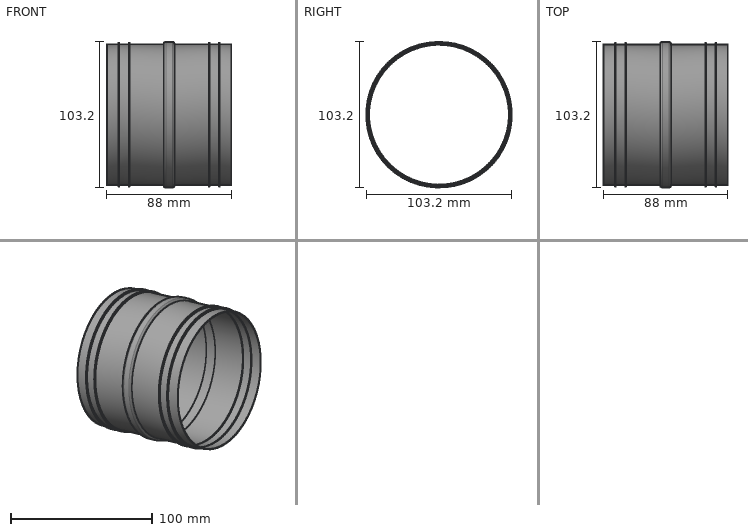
import cadquery as cq
import math

length = 88.0
tube_radius = 50.0
wall = 0.5

bead_radius = 51.6
bead_flat_width = 4.5

rib_radius = 51.0
rib_width = 0.7
rib_chamfer = 0.2
rib_from_end = 8.5
rib_spacing = 7.2

inner_radius = tube_radius - wall


def ring(center_x, width, outer_radius):
    """Plain ring around X with the bore of the tube."""
    return (
        cq.Workplane("YZ", origin=(center_x - width / 2, 0, 0))
        .circle(outer_radius)
        .circle(inner_radius)
        .extrude(width)
    )


def stop_bead():
    """Middle ring whose shoulders are quarter rounds rising from the tube."""
    shoulder = bead_radius - tube_radius
    half_flat = bead_flat_width / 2
    half_width = half_flat + shoulder
    arc_offset = shoulder * math.sqrt(0.5)
    return (
        cq.Workplane("XY")
        .moveTo(-half_width, inner_radius)
        .lineTo(-half_width, tube_radius)
        .threePointArc((-half_flat - arc_offset, tube_radius + arc_offset), (-half_flat, bead_radius))
        .lineTo(half_flat, bead_radius)
        .threePointArc((half_flat + arc_offset, tube_radius + arc_offset), (half_width, tube_radius))
        .lineTo(half_width, inner_radius)
        .close()
        .revolve(360, (0, 0, 0), (1, 0, 0))
    )


def rib(center_x):
    """Narrow ring with both edges of its crest chamfered."""
    crest_edges = cq.selectors.RadiusNthSelector(-1)
    return ring(center_x, rib_width, rib_radius).edges(crest_edges).chamfer(rib_chamfer)


result = ring(0, length, tube_radius).union(stop_bead())

outer_rib_x = length / 2 - rib_from_end
for side in (-1, 1):
    for rib_x in (outer_rib_x, outer_rib_x - rib_spacing):
        result = result.union(rib(side * rib_x))